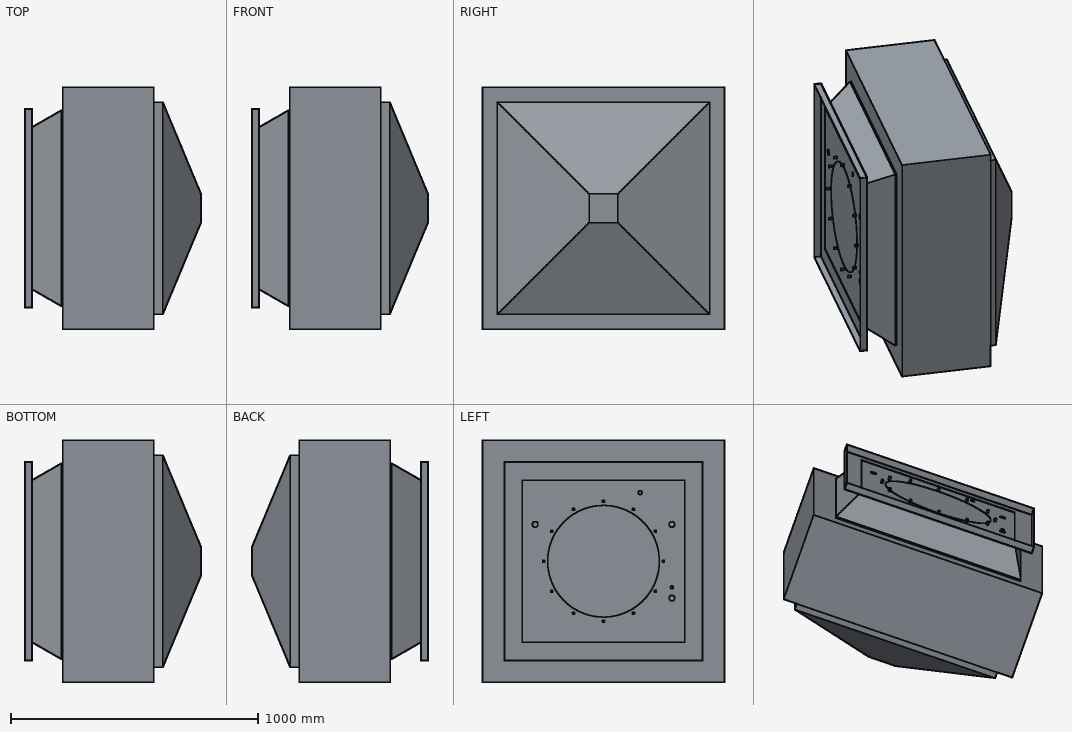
import cadquery as cq
import math

housing_width = 980.0
housing_height = 981.0
total_length = 713.0

tray_depth = 29.0
collar_start = 147.0
housing_start = 153.0
housing_end = 522.0
hood_start = 558.0

tray_side = 803.0
throat_side = 657.0
collar_side = 793.0
hood_side = 859.0
hood_tip_side = 116.0

sheet = 2.0
plate_step = 1.0

cover_diameter = 452.0
bolt_circle_diameter = 485.0
bolt_diameter = 9.0
bolt_length = 13.0
bolt_count = 12

port_depth = 2.0
large_port_diameter = 23.0
medium_port_diameter = 16.0
small_port_diameter = 12.0
port_offset_y = 277.0
port_offset_z = 149.0
small_port_z = -106.0
medium_port_y = -148.0
medium_port_z = 278.0


def block(x_start, x_end, width, height):
    """Box centred on the X axis between two X positions."""
    box = cq.Workplane("XY").box(x_end - x_start, width, height, centered=(False, True, True))
    return box.translate((x_start, 0, 0))


def square_taper(x_start, x_end, start_side, end_side):
    """Square frustum along the X axis."""
    return (
        cq.Workplane("YZ", origin=(x_start, 0, 0))
        .rect(start_side, start_side)
        .workplane(offset=x_end - x_start)
        .rect(end_side, end_side)
        .loft(ruled=True)
    )


def round_bars(x_start, length, diameter, centres):
    """Cylinders along X from one X position, one at each (y, z) centre."""
    return (
        cq.Workplane("YZ", origin=(x_start, 0, 0))
        .pushPoints(centres)
        .circle(diameter / 2)
        .extrude(length)
    )


body = block(0, tray_depth, tray_side, tray_side)
body = body.union(square_taper(tray_depth, collar_start, throat_side, collar_side))
body = body.union(block(collar_start, housing_start, collar_side, collar_side))
body = body.union(block(housing_start, housing_end, housing_width, housing_height))
body = body.union(block(housing_end, hood_start, hood_side, hood_side))
body = body.union(square_taper(hood_start, total_length, hood_side, hood_tip_side))

tray_floor = tray_depth - sheet
plate_face = tray_floor + plate_step
tray_opening = tray_side - 2 * sheet
body = body.cut(block(0, tray_floor, tray_opening, tray_opening))
body = body.cut(block(tray_floor, plate_face, throat_side, throat_side))

body = body.cut(round_bars(plate_face, plate_step, cover_diameter, [(0, 0)]))

bolt_angles = [2 * math.pi * i / bolt_count for i in range(bolt_count)]
bolt_radius = bolt_circle_diameter / 2
bolt_centres = [(bolt_radius * math.cos(a), bolt_radius * math.sin(a)) for a in bolt_angles]
body = body.union(round_bars(plate_face, -bolt_length, bolt_diameter, bolt_centres))

large_port_centres = [
    (port_offset_y, port_offset_z),
    (-port_offset_y, port_offset_z),
    (-port_offset_y, -port_offset_z),
]
medium_port_centres = [(medium_port_y, medium_port_z)]
small_port_centres = [(-port_offset_y, small_port_z)]
body = body.cut(round_bars(plate_face, port_depth, large_port_diameter, large_port_centres))
body = body.cut(round_bars(plate_face, port_depth, medium_port_diameter, medium_port_centres))
body = body.cut(round_bars(plate_face, port_depth, small_port_diameter, small_port_centres))

result = body